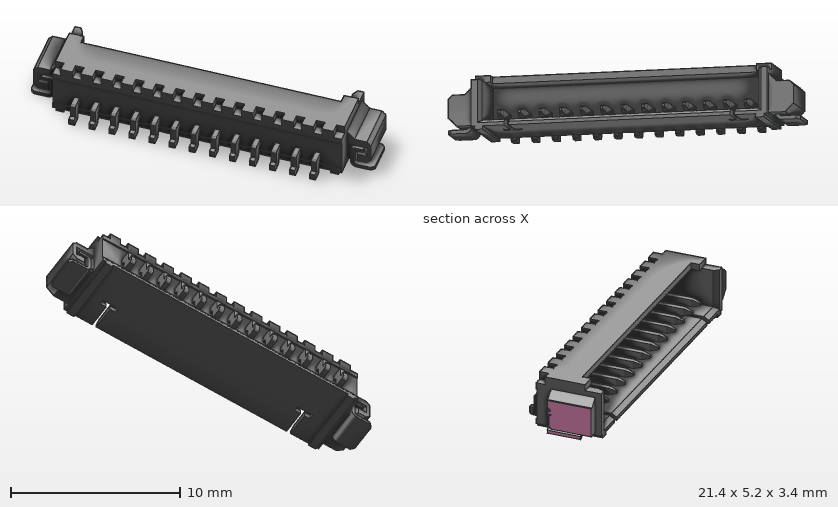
import cadquery as cq


PIN_COUNT = 13
PITCH = 1.25
PIN_WIDTH = 0.32
PIN_SPAN = (PIN_COUNT - 1) * PITCH

END_MARGIN = 1.5
HALF_LENGTH = PIN_SPAN / 2 + END_MARGIN
HOUSING_DEPTH = 4.2
HOUSING_TOP = 3.4
STANDOFF = 0.2
ROOF_THICKNESS = 0.4
RAIL_TOP = HOUSING_TOP - ROOF_THICKNESS
ROOF_SETBACK_SIDE = 1.05
ROOF_SETBACK_MIDDLE = 1.6
ROOF_SHOULDER_WIDTH = 0.9
REAR_RELIEF_DEPTH = 0.07
REAR_RELIEF_BOTTOM = 0.52
REAR_RELIEF_TOP = 2.5
FOOT_WIDTH = 0.5
FOOT_INSET = 0.2

SIDE_WALL = 0.58
FLOOR_TOP = 0.6
REAR_WALL = 1.0
MOUTH_BEVEL_DEPTH = 0.33
MOUTH_BEVEL_RISE = 0.2
SLIT_WIDTH = 0.28
SLIT_DEPTH = 1.5
SLIT_HEAD_WIDTH = PITCH - PIN_WIDTH / 2
SLIT_HEAD_DEPTH = 0.3

NOTCH_WIDTH = 0.52
NOTCH_DEPTH = 0.58
NOTCH_HEIGHT = 0.5

PIN_TOP = 1.35
PIN_THICKNESS = 0.45
PIN_LEG_OUTER = 0.7
PIN_LEG_INNER = 0.19
PIN_TAIL = 1.0
PIN_FOOT_TOP = 0.5
PIN_HEEL_RADIUS = 0.24
PIN_TOE_RADIUS = 0.19
PIN_BEND_RADIUS = 0.12
PIN_INNER_BEND_RADIUS = 0.2
BLADE_TAPER_START = 2.98
BLADE_TIP = 3.47
BLADE_TIP_WIDTH = 0.14
BLADE_TIP_DROP = 0.15

EAR_REACH = 1.5
EAR_OUTER = HALF_LENGTH + EAR_REACH
EAR_FRONT = 0.96
EAR_BACK = 3.8
EAR_BOTTOM = 0.32
EAR_TOP = 2.2
EAR_ROOT_TOP = 2.68
EAR_TOP_BEVEL = 0.25
EAR_BOTTOM_BEVEL = 0.5

NAIL_THICKNESS = 0.22
NAIL_BACK = 3.1
NAIL_TONGUE_TOP = 1.5
NAIL_TONGUE_END = HALF_LENGTH + 1.03
NAIL_STEM_INNER = HALF_LENGTH + 0.23
NAIL_STEM_OUTER = NAIL_STEM_INNER + NAIL_THICKNESS
NAIL_FLANGE_END = HALF_LENGTH + 1.7
NAIL_BEND_RADIUS = 0.4
NAIL_TONGUE_RADIUS = 0.25
NAIL_CORNER = 0.2
LEAD_IN = 0.23


def box(x_min, x_max, y_min, y_max, z_min, z_max):
    """Axis-aligned block given by its limits."""
    return (
        cq.Workplane("XY")
        .box(x_max - x_min, y_max - y_min, z_max - z_min, centered=False)
        .translate((x_min, y_min, z_min))
    )


def xz_prism(points, y_min, y_max):
    """Extrude an outline in the XZ plane between two Y positions."""
    outline = cq.Workplane("XZ", origin=(0, y_min, 0)).polyline(points).close()
    return outline.extrude(y_min - y_max)


def mirrored_pair(shape):
    """A shape joined with its mirror image about the YZ plane."""
    return shape.union(shape.mirror("YZ"))


def round_edge(shape, point, radius):
    """Fillet the single edge whose middle is nearest to a point."""
    return shape.edges(cq.NearestToPointSelector(point)).fillet(radius)


def make_shell():
    """Outer housing block with feet, rear relief and stepped roof edge."""
    shell = box(-HALF_LENGTH, HALF_LENGTH, 0, HOUSING_DEPTH, STANDOFF, HOUSING_TOP)
    shell = shell.cut(
        box(-HALF_LENGTH, HALF_LENGTH, 0, REAR_RELIEF_DEPTH, REAR_RELIEF_BOTTOM, REAR_RELIEF_TOP)
    )
    foot_outer = HALF_LENGTH - FOOT_INSET
    foot = box(foot_outer - FOOT_WIDTH, foot_outer, 0, HOUSING_DEPTH, 0, STANDOFF)
    shell = shell.union(mirrored_pair(foot))
    side_edge = HOUSING_DEPTH - ROOF_SETBACK_SIDE
    shell = shell.cut(
        box(-HALF_LENGTH, HALF_LENGTH, side_edge, HOUSING_DEPTH, RAIL_TOP, HOUSING_TOP)
    )
    shoulder_x = HALF_LENGTH - ROOF_SHOULDER_WIDTH
    middle_edge = HOUSING_DEPTH - ROOF_SETBACK_MIDDLE
    return shell.cut(box(-shoulder_x, shoulder_x, middle_edge, side_edge, RAIL_TOP, HOUSING_TOP))


def make_cavity():
    """Mating cavity, flared at the mouth on the floor and both side walls."""
    half_width = HALF_LENGTH - SIDE_WALL
    cavity = box(-half_width, half_width, REAR_WALL, HOUSING_DEPTH, FLOOR_TOP, RAIL_TOP)
    flare_width = 2 * (half_width + MOUTH_BEVEL_RISE)
    flare_height = RAIL_TOP - FLOOR_TOP + MOUTH_BEVEL_RISE
    flare = (
        cq.Workplane("XZ", origin=(0, HOUSING_DEPTH, RAIL_TOP - flare_height / 2))
        .rect(flare_width, flare_height)
        .workplane(offset=MOUTH_BEVEL_DEPTH)
        .center(0, MOUTH_BEVEL_RISE / 2)
        .rect(2 * half_width, RAIL_TOP - FLOOR_TOP)
        .loft(ruled=True)
    )
    return cavity.union(flare)


def make_floor_slits():
    """T-shaped slits through the floor between the outer two pins of each end."""
    slit_x = PIN_SPAN / 2 - PITCH / 2
    head_end = HOUSING_DEPTH - SLIT_DEPTH
    slit = box(
        slit_x - SLIT_WIDTH / 2, slit_x + SLIT_WIDTH / 2, head_end, HOUSING_DEPTH, 0, FLOOR_TOP
    )
    head = box(
        slit_x - SLIT_HEAD_WIDTH / 2,
        slit_x + SLIT_HEAD_WIDTH / 2,
        head_end - SLIT_HEAD_DEPTH,
        head_end,
        0,
        FLOOR_TOP,
    )
    return mirrored_pair(slit.union(head))


def make_roof_notches():
    """Row of notches over the pins, one pitch further at each end."""
    notch_floor = HOUSING_TOP - NOTCH_HEIGHT
    notches = cq.Workplane("XY")
    for index in range(-1, PIN_COUNT + 1):
        x = -PIN_SPAN / 2 + index * PITCH
        notches = notches.add(
            box(x - NOTCH_WIDTH / 2, x + NOTCH_WIDTH / 2, 0, NOTCH_DEPTH, notch_floor, HOUSING_TOP)
        )
    return notches.combine()


def make_pin():
    """Flat stamped pin at X = 0: hooked solder tail and tapered mating blade."""
    underside = PIN_TOP - PIN_THICKNESS
    side_outline = [
        (BLADE_TIP, underside + BLADE_TIP_DROP),
        (BLADE_TIP, PIN_TOP - BLADE_TIP_DROP),
        (BLADE_TAPER_START, PIN_TOP),
        (-PIN_LEG_OUTER, PIN_TOP),
        (-PIN_LEG_OUTER, PIN_FOOT_TOP),
        (-PIN_TAIL, PIN_FOOT_TOP),
        (-PIN_TAIL, 0),
        (-PIN_LEG_INNER, 0),
        (-PIN_LEG_INNER, underside),
        (BLADE_TAPER_START, underside),
    ]
    pin = cq.Workplane("YZ").polyline(side_outline).close().extrude(PIN_WIDTH / 2, both=True)
    pin = round_edge(pin, (0, -PIN_LEG_OUTER, PIN_TOP), PIN_BEND_RADIUS)
    pin = round_edge(pin, (0, -PIN_LEG_INNER, underside), PIN_INNER_BEND_RADIUS)
    pin = round_edge(pin, (0, -PIN_LEG_INNER, 0), PIN_HEEL_RADIUS)
    pin = round_edge(pin, (0, -PIN_TAIL, 0), PIN_TOE_RADIUS)
    plan_outline = [
        (-PIN_WIDTH / 2, -PIN_TAIL),
        (PIN_WIDTH / 2, -PIN_TAIL),
        (PIN_WIDTH / 2, BLADE_TAPER_START),
        (BLADE_TIP_WIDTH / 2, BLADE_TIP),
        (-BLADE_TIP_WIDTH / 2, BLADE_TIP),
        (-PIN_WIDTH / 2, BLADE_TAPER_START),
    ]
    return pin.intersect(cq.Workplane("XY").polyline(plan_outline).close().extrude(PIN_TOP))


def make_ear():
    """Ear on the +X end, bevelled around the nail on its -Y face."""
    root = HALF_LENGTH
    ear = xz_prism(
        [
            (root, EAR_BOTTOM),
            (EAR_OUTER - EAR_BOTTOM_BEVEL, EAR_BOTTOM),
            (EAR_OUTER, EAR_BOTTOM + EAR_BOTTOM_BEVEL),
            (EAR_OUTER, EAR_TOP - EAR_TOP_BEVEL),
            (EAR_OUTER - EAR_TOP_BEVEL, EAR_TOP),
            (root + EAR_ROOT_TOP - EAR_TOP, EAR_TOP),
            (root, EAR_ROOT_TOP),
        ],
        EAR_FRONT,
        EAR_BACK,
    )
    bottom_edge = ((root + EAR_OUTER - EAR_BOTTOM_BEVEL) / 2, EAR_FRONT, EAR_BOTTOM)
    ear = ear.edges(cq.NearestToPointSelector(bottom_edge)).chamfer(LEAD_IN)
    return ear.cut(make_lead_in())


def hook_outline(margin):
    """Outline of the nail's tongue and stem, grown by a margin on every side."""
    tongue_top = NAIL_TONGUE_TOP + margin
    tongue_bottom = NAIL_TONGUE_TOP - NAIL_THICKNESS - margin
    return [
        (NAIL_STEM_INNER - margin, 0),
        (NAIL_STEM_INNER - margin, tongue_top),
        (NAIL_TONGUE_END + margin, tongue_top),
        (NAIL_TONGUE_END + margin, tongue_bottom),
        (NAIL_STEM_OUTER + margin, tongue_bottom),
        (NAIL_STEM_OUTER + margin, 0),
    ]


def make_lead_in():
    """Tapered recess that narrows from the ear face onto the nail."""
    return (
        cq.Workplane("XZ", origin=(0, EAR_FRONT, 0))
        .polyline(hook_outline(LEAD_IN))
        .close()
        .workplane(offset=-LEAD_IN)
        .polyline(hook_outline(0))
        .close()
        .loft(ruled=True)
    )


def make_nail():
    """Bent solder nail on the +X end: tongue, stem and flat board flange."""
    tongue_bottom = NAIL_TONGUE_TOP - NAIL_THICKNESS
    nail = xz_prism(
        [
            (NAIL_STEM_INNER, 0),
            (NAIL_STEM_INNER, NAIL_TONGUE_TOP),
            (NAIL_TONGUE_END, NAIL_TONGUE_TOP),
            (NAIL_TONGUE_END, tongue_bottom),
            (NAIL_STEM_OUTER, tongue_bottom),
            (NAIL_STEM_OUTER, NAIL_THICKNESS),
            (NAIL_FLANGE_END, NAIL_THICKNESS),
            (NAIL_FLANGE_END, 0),
        ],
        EAR_FRONT,
        NAIL_BACK,
    )
    middle = (EAR_FRONT + NAIL_BACK) / 2
    flange_inner_radius = NAIL_BEND_RADIUS - NAIL_THICKNESS
    tongue_inner_radius = NAIL_TONGUE_RADIUS - NAIL_THICKNESS
    nail = round_edge(nail, (NAIL_STEM_INNER, middle, 0), NAIL_BEND_RADIUS)
    nail = round_edge(nail, (NAIL_STEM_INNER, middle, NAIL_TONGUE_TOP), NAIL_TONGUE_RADIUS)
    nail = round_edge(nail, (NAIL_STEM_OUTER, middle, NAIL_THICKNESS), flange_inner_radius)
    nail = round_edge(nail, (NAIL_STEM_OUTER, middle, tongue_bottom), tongue_inner_radius)
    return nail.edges("|Z and >X").chamfer(NAIL_CORNER)


housing = make_shell().cut(make_cavity()).cut(make_floor_slits()).cut(make_roof_notches())
result = housing.union(mirrored_pair(make_ear().union(make_nail())))
pin = make_pin()
for pin_index in range(PIN_COUNT):
    result = result.union(pin.translate((-PIN_SPAN / 2 + pin_index * PITCH, 0, 0)))